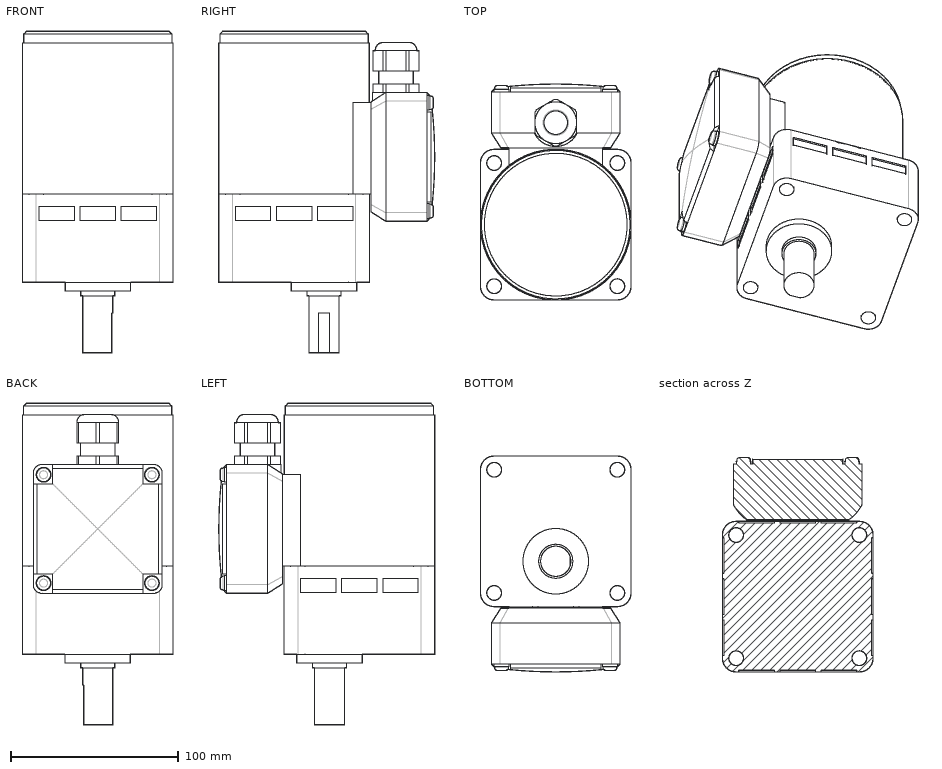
import cadquery as cq
import math


gearhead_width = 90.0
gearhead_height = 52.6
gearhead_corner_radius = 8.3
mount_hole_diameter = 8.6
mount_hole_spacing = 73.5

recess_width = 21.1
recess_height = 8.3
recess_pitch = 24.5
recess_depth = 1.0
recess_drop = 11.5
recesses_per_side = 3

shaft_offset = 17.9
pilot_diameter = 39.2
pilot_height = 5.2
collar_diameter = 20.4
collar_height = 2.9
shaft_diameter = 18.0
shaft_length = 34.0
flat_length = 23.6
flat_depth = 0.5

housing_diameter = gearhead_width
housing_height = 90.5
cap_diameter = 88.7
cap_height = 7.0
cap_chamfer = 1.7

saddle_width = 56.0
saddle_height = 55.0

box_size = 77.0
box_center_height = 74.9
box_corner_radius = 5.2
box_base_size = 65.7
box_base_corner_radius = 4.5
box_base_y = 45.9
box_wall_start_y = 54.7
lid_start_y = 79.3
lid_chamfer = 2.3
lid_crown_depth = 129.0

pocket_size = 11.5
screw_inset = 6.1
screw_collar_diameter = 8.8
screw_collar_height = 1.3
screw_head_diameter = 8.3
screw_height = 3.8
screw_fillet = 1.7

gland_y = 60.9
nut_across_flats = 25.0
nut_corner_diameter = 27.6
gland_seat_diameter = 28.5
gland_seat_depth = 7.7
flange_height = 5.2
neck_diameter = 20.7
neck_height = 7.5
nut_height = 12.3
dome_height = 5.0
dome_top_diameter = 15.2
gland_bore_diameter = 14.0

box_half = box_size / 2
box_top = box_center_height + box_half
lid_edge_y = lid_start_y + lid_chamfer
lid_crown_height = lid_crown_depth - gearhead_width / 2 - lid_edge_y
screw_position = box_half - screw_inset


def cylinder(diameter, height, base_height, y=0.0):
    """Upright cylinder with its axis at X = 0."""
    return cq.Workplane("XY", origin=(0, y, base_height)).circle(diameter / 2).extrude(height)


def label_recesses():
    """One row of recess cutters on each of the four gearhead sides."""
    cutters = cq.Workplane("XY")
    for side in range(4):
        row = (
            cq.Workplane("XZ", origin=(0, -gearhead_width / 2, gearhead_height - recess_drop))
            .rarray(recess_pitch, 2, recesses_per_side, 1)
            .rect(recess_width, recess_height)
            .extrude(-recess_depth)
        )
        cutters = cutters.add(row.rotate((0, 0, 0), (0, 0, 1), 90 * side))
    return cutters.combine()


def make_output_shaft():
    """Pilot boss, collar and shaft, with a flat on the +X side of the shaft end."""
    collar_bottom = -pilot_height - collar_height
    shaft_tip = collar_bottom - shaft_length
    shaft = cylinder(shaft_diameter, shaft_length, shaft_tip, shaft_offset)
    flat_cutter = cq.Workplane("XY").box(
        shaft_diameter, shaft_diameter, flat_length, centered=(False, True, False)
    )
    shaft = shaft.cut(flat_cutter.translate((shaft_diameter / 2 - flat_depth, shaft_offset, shaft_tip)))
    collar = cylinder(collar_diameter, collar_height, collar_bottom, shaft_offset)
    pilot = cylinder(pilot_diameter, pilot_height, -pilot_height, shaft_offset)
    return pilot.union(collar).union(shaft)


def make_gearhead():
    """Square gearhead with four through holes, label recesses and the output shaft."""
    block = (
        cq.Workplane("XY")
        .rect(gearhead_width, gearhead_width)
        .extrude(gearhead_height)
        .edges("|Z")
        .fillet(gearhead_corner_radius)
        .faces(">Z")
        .workplane()
        .rarray(mount_hole_spacing, mount_hole_spacing, 2, 2)
        .hole(mount_hole_diameter)
    )
    return block.cut(label_recesses()).union(make_output_shaft())


def make_housing():
    """Cylindrical motor housing with a slightly smaller chamfered end cap."""
    housing = cylinder(housing_diameter, housing_height, gearhead_height)
    cap = cylinder(cap_diameter, cap_height, gearhead_height + housing_height)
    return housing.union(cap.faces(">Z").chamfer(cap_chamfer))


def make_saddle():
    """Block from inside the housing out to the base of the terminal box."""
    return cq.Workplane("XY", origin=(0, 0, gearhead_height)).box(
        saddle_width, box_base_y, saddle_height, centered=(True, False, False)
    )


def box_plane(y):
    """Plane across the box axis at the given Y, facing +Y."""
    return cq.Plane(origin=(0, y, box_center_height), xDir=(1, 0, 0), normal=(0, 1, 0))


def rounded_square(size, radius):
    """Sketch of a square with rounded corners."""
    return cq.Sketch().rect(size, size).vertices().fillet(radius)


def frustum(start_y, start_size, start_radius, end_y, end_size, end_radius):
    """Solid between two rounded squares along Y."""
    start = rounded_square(start_size, start_radius)
    end = rounded_square(end_size, end_radius)
    rise = cq.Location(cq.Vector(0, 0, end_y - start_y))
    return cq.Workplane(box_plane(start_y)).placeSketch(start, end.moved(rise)).loft(ruled=True)


def crown_strip(half_width):
    """Arc-topped bar lying along Z that rises from the lid edge to the crown."""
    return (
        cq.Workplane("XY", origin=(0, 0, box_center_height))
        .moveTo(-half_width, lid_edge_y)
        .threePointArc((0, lid_edge_y + lid_crown_height), (half_width, lid_edge_y))
        .close()
        .extrude(half_width, both=True)
    )


def screw_discs(diameter, height):
    """A disc on the floor of each corner pocket."""
    return (
        cq.Workplane(box_plane(lid_start_y))
        .rarray(2 * screw_position, 2 * screw_position, 2, 2)
        .circle(diameter / 2)
        .extrude(height)
    )


def make_lid():
    """Chamfered lid with a crown curved both ways, open corner pockets and a screw in each."""
    edge_size = box_size - 2 * lid_chamfer
    edge_radius = box_corner_radius - lid_chamfer
    lid = frustum(lid_start_y, box_size, box_corner_radius, lid_edge_y, edge_size, edge_radius)
    strip = crown_strip(edge_size / 2)
    crossing_strip = strip.rotate((0, 0, box_center_height), (0, 1, box_center_height), 90)
    corner_trim = frustum(
        lid_edge_y, edge_size, edge_radius, lid_edge_y + lid_crown_height, edge_size, edge_radius
    )
    lid = lid.union(strip.intersect(crossing_strip).intersect(corner_trim))

    pocket_spacing = box_size - pocket_size
    pockets = (
        cq.Workplane(box_plane(lid_start_y))
        .rarray(pocket_spacing, pocket_spacing, 2, 2)
        .rect(pocket_size, pocket_size)
        .extrude(lid_chamfer + lid_crown_height)
    )
    collars = screw_discs(screw_collar_diameter, screw_collar_height)
    heads = screw_discs(screw_head_diameter, screw_height).faces(">Y").edges().fillet(screw_fillet)
    return lid.cut(pockets).union(collars).union(heads)


def make_terminal_box():
    """Tapered base, straight walls and the lid with its screws."""
    base = frustum(
        box_base_y, box_base_size, box_base_corner_radius, box_wall_start_y, box_size, box_corner_radius
    )
    walls = frustum(
        box_wall_start_y, box_size, box_corner_radius, lid_start_y, box_size, box_corner_radius
    )
    return base.union(walls).union(make_lid())


def gland_nut(height, base_height):
    """Hexagon with flats facing +X and -X and its corners turned down to a circle."""
    hexagon_diameter = nut_across_flats / math.cos(math.pi / 6)
    hexagon = (
        cq.Workplane("XY", origin=(0, gland_y, base_height))
        .transformed(rotate=(0, 0, 90))
        .polygon(6, hexagon_diameter)
        .extrude(height)
    )
    return hexagon.intersect(cylinder(nut_corner_diameter, height, base_height, gland_y))


def make_gland():
    """Cable gland: seat in the box, flange, neck and a domed nut."""
    neck_base = box_top + flange_height
    nut_base = neck_base + neck_height
    dome_base = nut_base + nut_height
    seat = cylinder(gland_seat_diameter, gland_seat_depth, box_top - gland_seat_depth, gland_y)
    flange = gland_nut(flange_height, box_top)
    neck = cylinder(neck_diameter, neck_height, neck_base, gland_y)
    nut = gland_nut(nut_height, nut_base)
    dome_fillet = (nut_across_flats - dome_top_diameter) / 2
    dome = cylinder(nut_across_flats, dome_height, dome_base, gland_y).faces(">Z").edges().fillet(dome_fillet)
    return seat.union(flange).union(neck).union(nut).union(dome)


def make_motor():
    """Housing, saddle, terminal box and gland as one solid, with the gland bored to the box top."""
    motor = make_housing().union(make_saddle()).union(make_terminal_box()).union(make_gland())
    bore_depth = flange_height + neck_height + nut_height + dome_height
    return motor.cut(cylinder(gland_bore_diameter, bore_depth, box_top, gland_y))


gearhead = make_gearhead()
motor = make_motor()

result = cq.Compound.makeCompound([gearhead.val(), motor.val()])